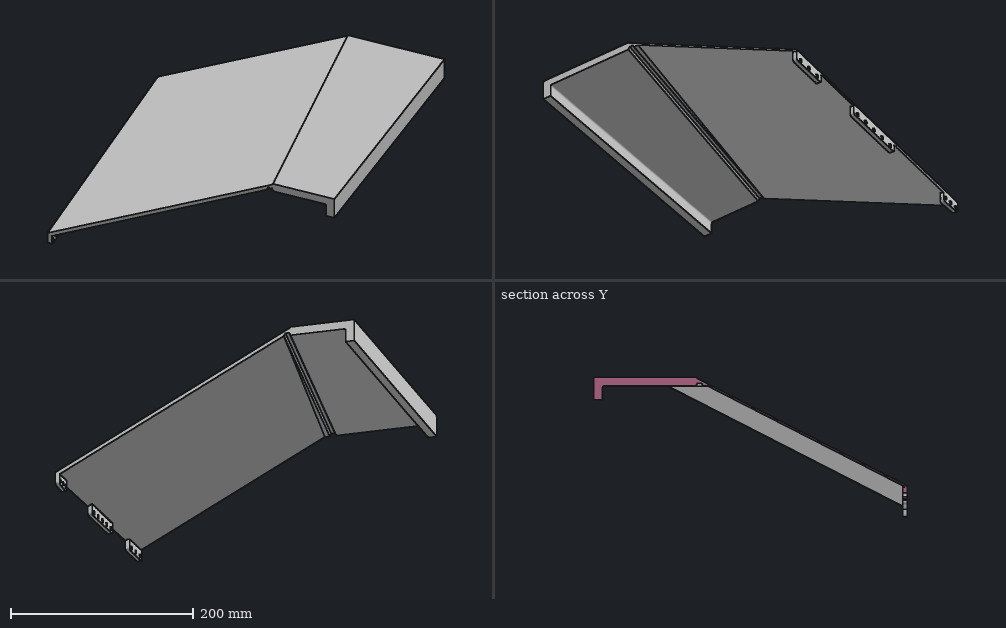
import cadquery as cq

length = 344.5
width = 299.5
height = 153.5

panel_thickness = 10.0
flange_thickness = 10.0
flange_height = 25.0
flange_inner_radius = 2.0

front_ridge_x = 270.7
back_ridge_x = 228.5
front_low_z = -139.0
back_low_z = -117.5
front_plate_thickness = 5.5
back_plate_thickness = 2.8
ridge_step = 1.5

groove_width = 7.5
groove_setback = 7.2
groove_depth = 3.0
groove_side = 1.7

tab_thickness = 5.0
tab_depth = 14.5
tab_corner_radius = 3.0
tab_root_depth = 1.7
back_tab_start = 253.5
middle_tab_start = 117.8
middle_tab_end = 193.2
front_tab_end = 26.0

hole_drop = 10.0
hole_pitch = 15.0
hole_diameter = 4.0
front_hole_pitch = 9.5
back_hole_start = 261.5
middle_hole_start = 125.5
front_hole_start = 3.5


def low_edge_z(y):
    """Height of the plate's upper low edge at a given Y."""
    return front_low_z + (back_low_z - front_low_z) * y / width


def cover_section(y, ridge_x, low_z, plate_thickness):
    """Closed XZ outline of panel, ridge and sloping plate at one end."""
    slope = (-ridge_step - low_z) / (ridge_x - ridge_step)
    underside_z = low_z - plate_thickness
    knee_x = (-panel_thickness - underside_z) / slope
    groove_start_x = ridge_x - groove_setback
    groove_top_z = groove_depth - panel_thickness
    outline = [
        (0, low_z),
        (ridge_x - ridge_step, -ridge_step),
        (ridge_x, 0),
        (length, 0),
        (length, -panel_thickness),
        (groove_start_x + groove_width, -panel_thickness),
        (groove_start_x + groove_width - groove_side, groove_top_z),
        (groove_start_x + groove_side, groove_top_z),
        (groove_start_x, -panel_thickness),
        (knee_x, -panel_thickness),
        (0, underside_z),
    ]
    return cq.Wire.makePolygon([cq.Vector(x, y, z) for x, z in outline], close=True)


def make_cover():
    front = cover_section(0, front_ridge_x, front_low_z, front_plate_thickness)
    back = cover_section(width, back_ridge_x, back_low_z, back_plate_thickness)
    return cq.Workplane(cq.Solid.makeLoft([front, back], True))


def make_flange():
    return cq.Workplane().box(
        flange_thickness, width, flange_height, centered=False
    ).translate((length - flange_thickness, 0, -flange_height))


def make_tab(y_start, y_end, bottom_start_z, bottom_end_z):
    """Tab with rounded lower corners, rooted just under the plate's low edge."""
    outline = [
        (y_start, low_edge_z(y_start) - tab_root_depth),
        (y_start, bottom_start_z),
        (y_end, bottom_end_z),
        (y_end, low_edge_z(y_end) - tab_root_depth),
    ]
    tab = cq.Workplane("YZ").polyline(outline).close().extrude(tab_thickness)
    for corner in outline[1:3]:
        corner_edge = cq.selectors.NearestToPointSelector((tab_thickness / 2, *corner))
        tab = tab.edges("|X").edges(corner_edge).fillet(tab_corner_radius)
    return tab


def make_sloped_tab(y_start, y_end):
    return make_tab(
        y_start, y_end, low_edge_z(y_start) - tab_depth, low_edge_z(y_end) - tab_depth
    )


def make_holes(y_start, count, pitch):
    """Row of holes that follows the slope of the low edge."""
    positions = [y_start + i * pitch for i in range(count)]
    points = [(y, low_edge_z(y) - hole_drop) for y in positions]
    return cq.Workplane("YZ").pushPoints(points).circle(hole_diameter / 2).extrude(tab_thickness)


result = make_cover().union(make_flange())

inner_corner = cq.selectors.NearestToPointSelector(
    (length - flange_thickness, width / 2, -panel_thickness)
)
result = result.edges(inner_corner).fillet(flange_inner_radius)

result = result.union(make_sloped_tab(back_tab_start, width))
result = result.union(make_sloped_tab(middle_tab_start, middle_tab_end))
result = result.union(make_tab(0, front_tab_end, -height, -height))

result = result.cut(make_holes(back_hole_start, 3, hole_pitch))
result = result.cut(make_holes(middle_hole_start, 5, hole_pitch))
result = result.cut(make_holes(front_hole_start, 3, front_hole_pitch))